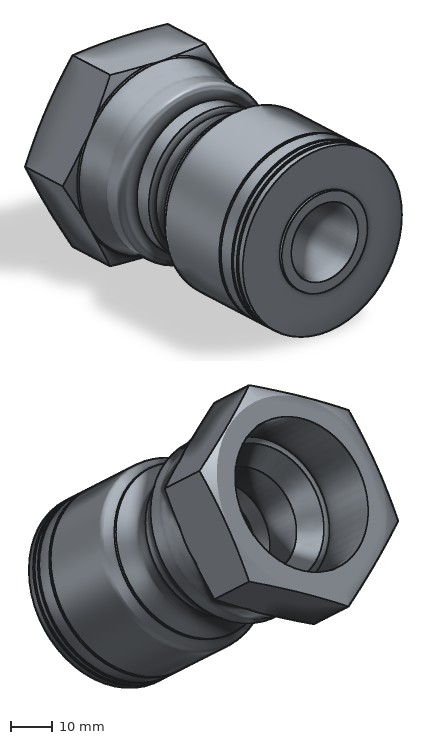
import cadquery as cq
import math

total_length = 80.5
match_tolerance = 0.001

flow_radius = 10.3
tail_radius = 13.2
neck_radius = 17.0

hex_across_flats = 50.8
hex_length = 17.15
hex_chamfer_angle = 15.0
front_chamfer_radius = 25.0
back_chamfer_radius = 25.7
back_chamfer_end = 16.75
skirt_root_radius = 25.35
skirt_start = 25.7
skirt_radius = 23.5
skirt_fillet = 1.7
nut_length = 31.1
nut_bore_radius = 19.6

seat_face = 15.9
head_radius = 19.4
head_end = skirt_start
seat_mouth_radius = 17.8
counterbore_radius = 13.6
seat_length = 5.55
drill_point_length = 1.9
collar_start = 32.7
collar_end = 37.3
collar_radius = 19.9
cone_end_radius = 15.05
counterbore_end = collar_start

ferrule_start = 38.3
ferrule_end = 79.6
lip_radius = 18.75
lip_fillet = 0.6
lip_end = 41.8
flare_end = 46.2
flare_radius = 22.3
land_length = 0.7
body_start = 49.5
body_radius = 24.55
lip_blend_radius = 1.05
body_blend_radius = 2.0
groove_width = 0.65
groove_depth = 0.3
groove_centers = [70.75, 77.5]
step_start = 75.25
step_width = 0.6
step_depth = 0.1


def revolve_about_x(profile):
    """Turn a closed (X, radius) profile into a solid of revolution about X."""
    return profile.close().revolve(360, (0, 0, 0), (1, 0, 0))


def fillet_ring(body, x, radius, fillet_radius):
    """Fillet the circular edge that has the given X and radius."""
    return (
        body.edges("%CIRCLE")
        .filter(lambda edge: math.isclose(edge.Center().x, x, abs_tol=match_tolerance))
        .filter(lambda edge: math.isclose(edge.radius(), radius, abs_tol=match_tolerance))
        .fillet(fillet_radius)
    )


def make_hex():
    """Hexagonal prism with its corners chamfered at both ends."""
    corner_radius = hex_across_flats / math.sqrt(3)
    chamfer_slope = math.tan(math.radians(hex_chamfer_angle))
    front_corner = (corner_radius - front_chamfer_radius) * chamfer_slope
    back_corner = back_chamfer_end - (corner_radius - back_chamfer_radius) * chamfer_slope
    prism = (
        cq.Workplane("YZ")
        .polygon(6, 2 * corner_radius)
        .extrude(hex_length)
    )
    chamfer_envelope = revolve_about_x(
        cq.Workplane("XY")
        .lineTo(0, front_chamfer_radius)
        .lineTo(front_corner, corner_radius)
        .lineTo(back_corner, corner_radius)
        .lineTo(back_chamfer_end, back_chamfer_radius)
        .lineTo(hex_length, skirt_root_radius)
        .lineTo(hex_length, 0)
    )
    return prism.intersect(chamfer_envelope)


def make_nut():
    """Hex nut whose tapered skirt ends in a lip that holds the stem head."""
    skirt = revolve_about_x(
        cq.Workplane("XY")
        .moveTo(hex_length, 0)
        .lineTo(hex_length, skirt_root_radius)
        .lineTo(skirt_start, skirt_radius)
        .lineTo(nut_length, skirt_radius)
        .lineTo(nut_length, 0)
    )
    skirt = skirt.faces(">X").edges().fillet(skirt_fillet)
    bore = cq.Workplane("YZ").circle(nut_bore_radius).extrude(head_end)
    lip_hole = cq.Workplane("YZ").circle(neck_radius).extrude(nut_length)
    return make_hex().union(skirt).cut(bore).cut(lip_hole)


def make_stem():
    """Hollow tube with a conical seat, a counterbore with a conical end, and a flow hole."""
    seat_end = seat_face + seat_length
    return revolve_about_x(
        cq.Workplane("XY")
        .moveTo(seat_face, seat_mouth_radius)
        .lineTo(seat_end, counterbore_radius)
        .lineTo(counterbore_end, counterbore_radius)
        .lineTo(counterbore_end + drill_point_length, flow_radius)
        .lineTo(total_length, flow_radius)
        .lineTo(total_length, tail_radius)
        .lineTo(ferrule_start, tail_radius)
        .lineTo(ferrule_start, cone_end_radius)
        .lineTo(collar_end, collar_radius)
        .lineTo(collar_start, collar_radius)
        .lineTo(collar_start, neck_radius)
        .lineTo(head_end, neck_radius)
        .lineTo(head_end, head_radius)
        .lineTo(seat_face, head_radius)
    )


def make_groove(center):
    """V-shaped ring to cut from the ferrule body around the given X."""
    return revolve_about_x(
        cq.Workplane("XY")
        .moveTo(center - groove_width / 2, body_radius)
        .lineTo(center, body_radius - groove_depth)
        .lineTo(center + groove_width / 2, body_radius)
    )


def make_step():
    """Shallow flat-bottomed ring to cut from the ferrule body."""
    return revolve_about_x(
        cq.Workplane("XY")
        .moveTo(step_start, body_radius)
        .lineTo(step_start, body_radius - step_depth)
        .lineTo(step_start + step_width, body_radius - step_depth)
        .lineTo(step_start + step_width, body_radius)
    )


def make_ferrule():
    """Flared sleeve around the stem tail, with rings cut near its far end."""
    land_end = flare_end + land_length
    ferrule = revolve_about_x(
        cq.Workplane("XY")
        .moveTo(ferrule_start, tail_radius)
        .lineTo(ferrule_start, lip_radius)
        .lineTo(lip_end, lip_radius)
        .lineTo(flare_end, flare_radius)
        .lineTo(land_end, flare_radius)
        .lineTo(body_start, body_radius)
        .lineTo(ferrule_end, body_radius)
        .lineTo(ferrule_end, tail_radius)
    )

    blends = [
        (ferrule_start, lip_radius, lip_fillet),
        (lip_end, lip_radius, lip_blend_radius),
        (body_start, body_radius, body_blend_radius),
    ]
    for x, radius, blend_radius in blends:
        ferrule = fillet_ring(ferrule, x, radius, blend_radius)
    for center in groove_centers:
        ferrule = ferrule.cut(make_groove(center))
    return ferrule.cut(make_step())


nut = make_nut()
stem = make_stem()
ferrule = make_ferrule()

result = cq.Compound.makeCompound([nut.val(), stem.val(), ferrule.val()])